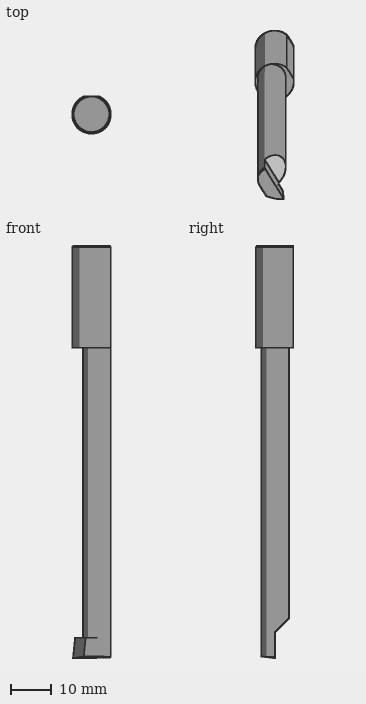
import cadquery as cq

total_length = 101.6
shank_diameter = 9.5
shank_length = 25.2
shank_chamfer = 0.4
flat_depth = 0.3

neck_diameter = 6.9

head_height = 5.1
relief_height = 6.4
tip_x = -4.6
tip_draft = 0.5
heel_x = -3.0
heel_y = -2.3
flank_mid_x = -4.0
flank_mid_y = -1.2
toe_x = -1.9
end_rise_x = 0.1
end_rise_y = 0.4
end_chamfer = 0.4

shank_radius = shank_diameter / 2
neck_radius = neck_diameter / 2
neck_x = shank_radius - neck_radius
shank_bottom = total_length - shank_length


def make_shank():
    shank = cq.Workplane("XY").workplane(offset=shank_bottom).circle(shank_radius).extrude(shank_length)
    shank = shank.faces(">Z").chamfer(shank_chamfer)
    flat_cut = cq.Workplane("XY").box(
        shank_diameter, shank_diameter, shank_length, centered=(True, False, False)
    )
    return shank.cut(flat_cut.translate((0, shank_radius - flat_depth, shank_bottom)))


def make_neck():
    neck = cq.Workplane("XY").center(neck_x, 0).circle(neck_radius).extrude(shank_bottom)
    neck = neck.faces("<Z").chamfer(end_chamfer)
    relief = (
        cq.Workplane("YZ")
        .moveTo(0, 0)
        .lineTo(0, relief_height)
        .lineTo(neck_diameter, relief_height + neck_diameter)
        .lineTo(neck_diameter, 0)
        .close()
        .extrude(shank_diameter, both=True)
    )
    return neck.cut(relief)


def head_section(z, shift):
    """Head outline at height z, with its flank moved by shift along X."""
    return (
        cq.Workplane("XY")
        .workplane(offset=z)
        .moveTo(tip_x + shift, 0)
        .threePointArc((flank_mid_x + shift, flank_mid_y), (heel_x + shift, heel_y))
        .lineTo(toe_x + shift, -neck_radius)
        .lineTo(neck_x, -neck_radius)
        .lineTo(neck_x, 0)
        .close()
        .wires()
        .val()
    )


def make_head():
    sections = [head_section(0, 0), head_section(head_height, tip_draft)]
    return cq.Workplane(cq.Solid.makeLoft(sections, True))


def cut_end_clearance(body):
    """Tilt the bottom end so that only the tip corner reaches Z = 0."""
    tip = cq.Vector(tip_x, 0, 0)
    along_x = cq.Vector(shank_radius - tip_x, 0, end_rise_x)
    along_y = cq.Vector(0, neck_radius, -end_rise_y)
    plane = cq.Plane(origin=tip, xDir=along_x, normal=along_x.cross(along_y))
    below = cq.Workplane(plane).rect(4 * shank_diameter, 4 * shank_diameter).extrude(-head_height)
    return body.cut(below)


result = cut_end_clearance(make_shank().union(make_neck()).union(make_head()))